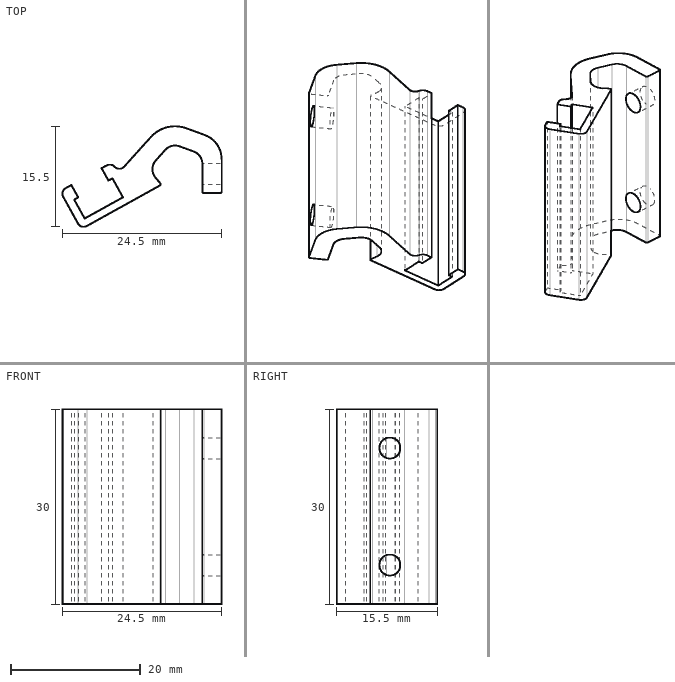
import cadquery as cq
import math

OVERALL_WIDTH = 24.53
OVERALL_DEPTH = 15.51
LENGTH = 30.0

PLATE_TILT = 29.0
PLATE_LENGTH = 14.15
CHANNEL_HEIGHT = 6.7
PLATE_THICKNESS = 1.2
WALL_THICKNESS = 1.3
CHANNEL_WIDTH = 6.7
LIP_THICKNESS = 2.2
LIP_OVERHANG = 0.7
LIP_LENGTH = 1.66
LIP_SLOPE_ANGLE = -45.0
CORNER_RADIUS = 1.0

HOOK_THICKNESS = 3.0
HOOK_INNER_RADIUS = 2.0
HOOK_OUTER_RADIUS = HOOK_INNER_RADIUS + HOOK_THICKNESS
SHOULDER_OUTER_RADIUS = 4.0
CROWN_X = 14.45
NECK_ANGLE = 48.0
SHOULDER_ANGLE = -20.0
LEG_END_Y = 5.55
SPUR_ANGLE = 130.0
EDGE_RADIUS = 0.25

HOLE_DIAMETER = 3.24
HOLE_SPACING = 18.0
HOLE_FROM_LEG_END = 3.0


def plate_point(u, v):
    """Point at u along and v across the plate; the origin is the plate's sharp lower-left corner."""
    tilt = math.radians(PLATE_TILT)
    return (u * math.cos(tilt) - v * math.sin(tilt), u * math.sin(tilt) + v * math.cos(tilt))


def parallel_at(center, angle, distance):
    """Line (point, angle) lying the given distance to the left of a center."""
    a = math.radians(angle)
    return ((center[0] - distance * math.sin(a), center[1] + distance * math.cos(a)), angle)


def meet(line_a, line_b):
    """Intersection point of two lines, each given as (point, angle)."""
    (ax, ay), angle_a = line_a
    (bx, by), angle_b = line_b
    a = math.radians(angle_a)
    b = math.radians(angle_b)
    step = ((bx - ax) * math.sin(b) - (by - ay) * math.cos(b)) / math.sin(b - a)
    return (ax + step * math.cos(a), ay + step * math.sin(a))


def rounded_outline(corners):
    """Closed wire through (point, radius) corners; radius 0 keeps a corner sharp."""
    stops = []
    for i, (point, radius) in enumerate(corners):
        here = cq.Vector(*point)
        if radius == 0:
            stops.append((here, None, here))
            continue
        back = (cq.Vector(*corners[i - 1][0]) - here).normalized()
        ahead = (cq.Vector(*corners[(i + 1) % len(corners)][0]) - here).normalized()
        half_angle = back.getAngle(ahead) / 2
        tangent_length = radius / math.tan(half_angle)
        middle_distance = radius / math.sin(half_angle) - radius
        middle = here + (back + ahead).normalized() * middle_distance
        stops.append((here + back * tangent_length, middle, here + ahead * tangent_length))

    outline = cq.Workplane("XY").moveTo(*stops[0][2].toTuple()[:2])
    for start, middle, end in stops[1:] + stops[:1]:
        outline = outline.lineTo(start.x, start.y)
        if middle is not None:
            outline = outline.threePointArc((middle.x, middle.y), (end.x, end.y))
    return outline.close()


lowest_y = plate_point(CORNER_RADIUS, CORNER_RADIUS)[1] - CORNER_RADIUS
leftmost_x = plate_point(CORNER_RADIUS, CHANNEL_HEIGHT - CORNER_RADIUS)[0] - CORNER_RADIUS
leg_outer_x = leftmost_x + OVERALL_WIDTH
leg_inner_x = leg_outer_x - HOOK_THICKNESS
crown_center = (CROWN_X, lowest_y + OVERALL_DEPTH - HOOK_OUTER_RADIUS)


def channel_corners():
    """Left wall, base and right wall of the channel, from the right lip round to the plate end."""
    right_wall = WALL_THICKNESS + CHANNEL_WIDTH
    left_lip = WALL_THICKNESS + LIP_OVERHANG
    right_lip = right_wall - LIP_OVERHANG
    lip_underside = CHANNEL_HEIGHT - LIP_THICKNESS
    return [
        (plate_point(right_lip, CHANNEL_HEIGHT), 0),
        (plate_point(right_lip, lip_underside), 0),
        (plate_point(right_wall, lip_underside), 0),
        (plate_point(right_wall, PLATE_THICKNESS), 0),
        (plate_point(WALL_THICKNESS, PLATE_THICKNESS), 0),
        (plate_point(WALL_THICKNESS, lip_underside), 0),
        (plate_point(left_lip, lip_underside), 0),
        (plate_point(left_lip, CHANNEL_HEIGHT), 0),
        (plate_point(0, CHANNEL_HEIGHT), CORNER_RADIUS),
        (plate_point(0, 0), CORNER_RADIUS),
        (plate_point(PLATE_LENGTH, 0), EDGE_RADIUS),
    ]


def hook_corners():
    """Hook from the spur, along its inside to the leg end and back outside to the right lip."""
    neck_inner = parallel_at(crown_center, NECK_ANGLE, HOOK_INNER_RADIUS)
    neck_outer = parallel_at(crown_center, NECK_ANGLE, HOOK_OUTER_RADIUS)
    shoulder_inner = parallel_at(crown_center, SHOULDER_ANGLE, HOOK_INNER_RADIUS)
    shoulder_outer = parallel_at(crown_center, SHOULDER_ANGLE, HOOK_OUTER_RADIUS)
    leg_inner = ((leg_inner_x, LEG_END_Y), 90)
    leg_outer = ((leg_outer_x, LEG_END_Y), 90)
    spur = (plate_point(PLATE_LENGTH, 0), SPUR_ANGLE)
    lip_end_u = WALL_THICKNESS + CHANNEL_WIDTH - LIP_OVERHANG + LIP_LENGTH
    lip_end = plate_point(lip_end_u, CHANNEL_HEIGHT)
    lip_slope = (lip_end, LIP_SLOPE_ANGLE)
    return [
        (meet(spur, neck_inner), HOOK_INNER_RADIUS),
        (meet(neck_inner, shoulder_inner), HOOK_INNER_RADIUS),
        (meet(shoulder_inner, leg_inner), HOOK_INNER_RADIUS),
        (leg_inner[0], EDGE_RADIUS),
        (leg_outer[0], EDGE_RADIUS),
        (meet(leg_outer, shoulder_outer), SHOULDER_OUTER_RADIUS),
        (meet(shoulder_outer, neck_outer), HOOK_OUTER_RADIUS),
        (meet(neck_outer, lip_slope), CORNER_RADIUS),
        (lip_end, CORNER_RADIUS),
    ]


def screw_holes():
    """Two cylinders crossing the leg along X, centered on the length."""
    return (
        cq.Workplane("YZ", origin=(leg_inner_x, LEG_END_Y + HOLE_FROM_LEG_END, LENGTH / 2))
        .rarray(1, HOLE_SPACING, 1, 2)
        .circle(HOLE_DIAMETER / 2)
        .extrude(HOOK_THICKNESS)
    )


profile = rounded_outline(channel_corners() + hook_corners())
result = profile.extrude(LENGTH).cut(screw_holes())